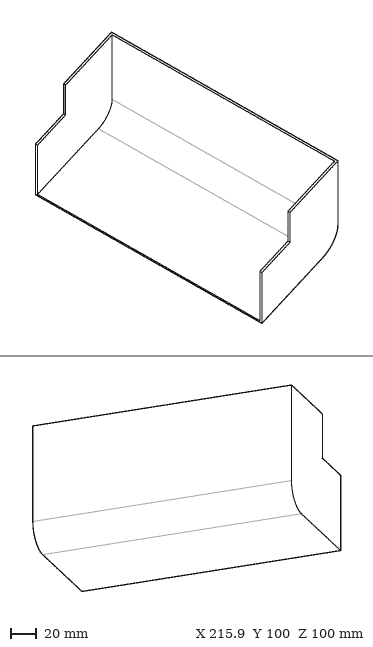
import cadquery as cq

length = 215.9
depth = 100.0
height = 100.0

wall = 2.0
outer_radius = 20.0
leg_width = 63.0


def rounded_block(block_length, inset, corner_radius):
    """Block centred on X, inset from the back and floor, with its back-bottom edge rounded."""
    return (
        cq.Workplane("XY")
        .box(block_length, depth - inset, height - inset)
        .translate((0, -inset / 2, inset / 2))
        .edges(">Y and <Z")
        .fillet(corner_radius)
    )


def corner_notch():
    """Full-length block that cuts the front-top corner, leaving L-shaped ends."""
    notch_depth = depth - leg_width
    notch_height = height - leg_width
    return (
        cq.Workplane("XY")
        .box(length, notch_depth, notch_height)
        .translate((0, (notch_depth - depth) / 2, (height - notch_height) / 2))
    )


envelope = rounded_block(length, 0, outer_radius)
cavity = rounded_block(length - 2 * wall, wall, outer_radius - wall)

result = envelope.cut(cavity).cut(corner_notch())